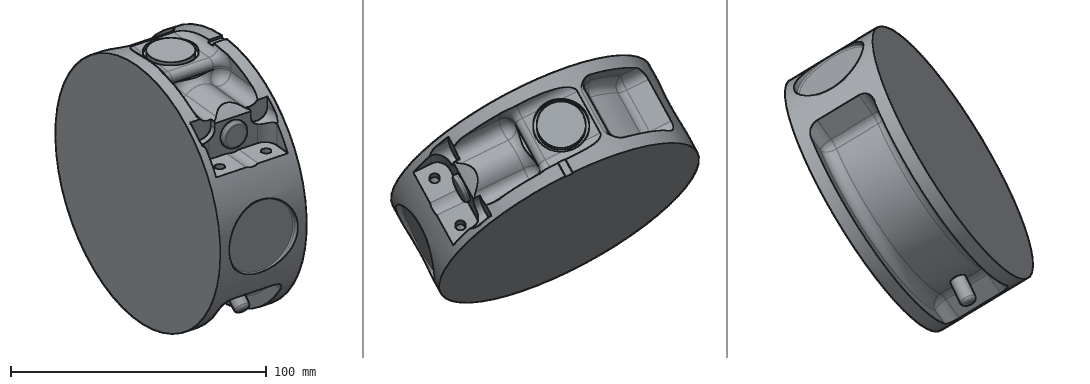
import cadquery as cq
import math

body_radius = 57.3
body_width = 41.0
reach = 2 * body_radius
tolerance = 0.01

pocket_half_width = 14.7
pocket_floor_radius = 47.0
pocket_fillet = 4.9
rim_fillet = 3.0
side_wall_z = 27.0
left_pocket_end_x = -22.7

spot_radius = 16.3
spot_floor_x = 54.3
spot_fillet = 0.6

flat_z = 54.0
button_x = -7.1
button_radius = 9.6
button_top_z = 54.7
button_gap_radius = 11.0
button_gap_depth = 1.7

notch_width = 3.2
notch_floor_z = 56.3

barrel_z = 38.0
barrel_radius = 10.4
barrel_pocket_start_x = 8.0

step_start_x = 36.0
step_floor_z = 29.2
step_half_width = 17.0
step_corner_radius = 5.5

clearance_start_x = 33.1
clearance_y = 13.4
clearance_radius = 4.9
clearance_z = 42.4

cap_z = 37.4
cap_radius = 6.0
cap_height = 2.2
cap_fillet = 1.1
cable_groove_half_width = 2.9

screw_hole_x = 43.0
screw_hole_y = 11.0
screw_hole_radius = 2.1
screw_hole_depth = 4.6
screw_tip_depth = 1.3

post_angle = -42.0
post_radius = 3.3
post_base_radius = 45.8
post_tip_radius = 58.1
post_fillet = 1.7


def box(x_range, y_range, z_range):
    """Box between the given limits."""
    (x0, x1), (y0, y1), (z0, z1) = x_range, y_range, z_range
    return cq.Workplane("XY").box(x1 - x0, y1 - y0, z1 - z0, centered=False).translate((x0, y0, z0))


def cylinder(start, direction, radius, length):
    """Solid cylinder from a start point along a direction."""
    return cq.Workplane(cq.Solid.makeCylinder(radius, length, cq.Vector(*start), cq.Vector(*direction)))


def y_disc(radius, width):
    """Disc about the Y axis, centred on Y = 0."""
    return cylinder((0, -width / 2, 0), (0, 1, 0), radius, width)


def ring_pocket(outline):
    """Cutter with the given XZ outline, a concentric floor and rounded inside edges."""
    tool = outline.extrude(pocket_half_width, both=True).cut(y_disc(pocket_floor_radius, body_width))

    def is_inside_edge(edge):
        centre = edge.Center()
        on_outer_face = max(abs(centre.x), abs(centre.z)) > reach - tolerance
        on_side = abs(centre.y) > pocket_half_width - tolerance
        on_floor = math.hypot(centre.x, centre.z) < pocket_floor_radius + tolerance
        return not on_outer_face and (on_side or on_floor)

    return cq.Workplane(tool.val().fillet(pocket_fillet, filter(is_inside_edge, tool.edges().vals())))


def left_pocket():
    """Pocket with a horizontal lower wall and a vertical end wall that rounds over into the rim."""
    rounding_x = left_pocket_end_x + rim_fillet
    rounding_z = math.sqrt((body_radius - rim_fillet) ** 2 - rounding_x**2)
    scale = body_radius / (body_radius - rim_fillet)
    rim_x = rounding_x * scale
    rim_z = rounding_z * scale
    tangent_z = body_radius**2 / rim_z
    outline = (
        cq.Workplane("XZ")
        .moveTo(-reach, side_wall_z)
        .lineTo(left_pocket_end_x, side_wall_z)
        .lineTo(left_pocket_end_x, rounding_z)
        .radiusArc((rim_x, rim_z), rim_fillet)
        .lineTo(0, tangent_z)
        .lineTo(0, reach)
        .lineTo(-reach, reach)
        .close()
    )
    return ring_pocket(outline)


def lower_groove():
    """Groove across the whole lower side, between two horizontal walls."""
    outline = cq.Workplane("XZ").moveTo(-reach, -side_wall_z).lineTo(reach, -side_wall_z)
    return ring_pocket(outline.lineTo(reach, -reach).lineTo(-reach, -reach).close())


def spot_face(side):
    """Round recess facing -X or +X, with a rounded floor edge."""
    tool = cylinder((side * spot_floor_x, 0, 0), (side, 0, 0), spot_radius, reach)
    return tool.faces("<X" if side > 0 else ">X").edges().fillet(spot_fillet)


def groove_section():
    """Height of the upper ends of the barrel grooves and the point where they touch the barrel."""
    groove_y = pocket_half_width - pocket_fillet
    centre_distance = barrel_radius + pocket_fillet
    rise = math.sqrt(centre_distance**2 - groove_y**2)
    share = barrel_radius / centre_distance
    return barrel_z + rise, groove_y * share, barrel_z + rise * share


def button_flat():
    """Flat that rounds over into the vertical start wall of the barrel pocket."""
    bottom_z = groove_section()[0]
    tool = (
        cq.Workplane("XZ")
        .moveTo(-reach, flat_z)
        .lineTo(barrel_pocket_start_x - rim_fillet, flat_z)
        .radiusArc((barrel_pocket_start_x, flat_z - rim_fillet), rim_fillet)
        .lineTo(barrel_pocket_start_x, bottom_z)
        .lineTo(reach, bottom_z)
        .lineTo(reach, reach)
        .lineTo(-reach, reach)
        .close()
        .extrude(pocket_half_width, both=True)
    )
    low_corner = (-reach, -reach, bottom_z + tolerance)
    high_corner = (barrel_pocket_start_x + tolerance, reach, flat_z + tolerance)
    lower_edges = tool.edges(cq.selectors.BoxSelector(low_corner, high_corner))
    return lower_edges.edges("not |Y").fillet(pocket_fillet)


def button_gap():
    """Round recess that leaves a ring-shaped gap once the button stands in it."""
    base = (button_x, 0, flat_z - button_gap_depth)
    return cylinder(base, (0, 0, 1), button_gap_radius, reach)


def button():
    """Round button that rises just above the flat."""
    base_z = flat_z - button_gap_depth
    return cylinder((button_x, 0, base_z), (0, 0, 1), button_radius, button_top_z - base_z)


def index_notch():
    """Shallow notch across the rim on the +Y side."""
    return box((-notch_width / 2, notch_width / 2), (0, reach), (notch_floor_z, reach))


def barrel_pocket():
    """Cutter whose floor follows the barrel and curls up into the side walls."""
    groove_top_z, touch_y, touch_z = groove_section()
    tool = (
        cq.Workplane("YZ", origin=(barrel_pocket_start_x, 0, 0))
        .moveTo(-pocket_half_width, reach)
        .lineTo(-pocket_half_width, groove_top_z)
        .radiusArc((-touch_y, touch_z), -pocket_fillet)
        .radiusArc((touch_y, touch_z), barrel_radius)
        .radiusArc((pocket_half_width, groove_top_z), -pocket_fillet)
        .lineTo(pocket_half_width, reach)
        .close()
        .extrude(step_start_x - barrel_pocket_start_x)
    )
    return tool.faces("<X").edges("not >Z").fillet(pocket_fillet)


def clearance_slot(side):
    """Round-bottomed slot along X, open upwards, beside the barrel end."""
    y = side * clearance_y
    y_range = (y - clearance_radius, y + clearance_radius)
    tool = cylinder((clearance_start_x, y, clearance_z), (1, 0, 0), clearance_radius, reach)
    return tool.union(box((clearance_start_x, reach), y_range, (clearance_z, reach)))


def step():
    """Cutter for the step, with rounded corners beside the barrel end."""
    tool = box((step_start_x, reach), (-step_half_width, step_half_width), (step_floor_z, reach))
    return tool.edges("|Z and <X").fillet(step_corner_radius)


def barrel_cap():
    """Round cap standing out from the step wall."""
    cap = cylinder((step_start_x, 0, cap_z), (1, 0, 0), cap_radius, cap_height)
    return cap.faces(">X").edges().fillet(cap_fillet)


def cable_groove():
    """Shallow round groove in the step floor, concentric with the barrel cap."""
    radius = math.hypot(cable_groove_half_width, cap_z - step_floor_z)
    return cylinder((step_start_x, 0, cap_z), (1, 0, 0), radius, reach)


def screw_hole(side):
    """Blind hole with a conical bottom, straight down into the step floor."""
    y = side * screw_hole_y
    shaft = cylinder((screw_hole_x, y, step_floor_z), (0, 0, -1), screw_hole_radius, screw_hole_depth)
    tip_start = cq.Vector(screw_hole_x, y, step_floor_z - screw_hole_depth)
    tip = cq.Solid.makeCone(screw_hole_radius, 0, screw_tip_depth, tip_start, cq.Vector(0, 0, -1))
    return shaft.union(cq.Workplane(tip))


def post():
    """Round-tipped post on the floor of the lower groove."""
    angle = math.radians(post_angle)
    direction = (math.cos(angle), 0, math.sin(angle))
    start = tuple(post_base_radius * part for part in direction)
    shaft = cylinder((0, 0, 0), (0, 0, 1), post_radius, post_tip_radius - post_base_radius)
    shaft = shaft.faces(">Z").edges().fillet(post_fillet)
    return shaft.rotate((0, 0, 0), (0, 1, 0), 90 - post_angle).translate(start)


result = y_disc(body_radius, body_width)
for pocket in (left_pocket(), lower_groove(), button_flat(), barrel_pocket(), index_notch(), button_gap()):
    result = result.cut(pocket)
for side in (-1, 1):
    result = result.cut(spot_face(side)).cut(clearance_slot(side))
result = result.cut(step()).cut(cable_groove())
for side in (-1, 1):
    result = result.cut(screw_hole(side))
result = result.union(button()).union(barrel_cap()).union(post())